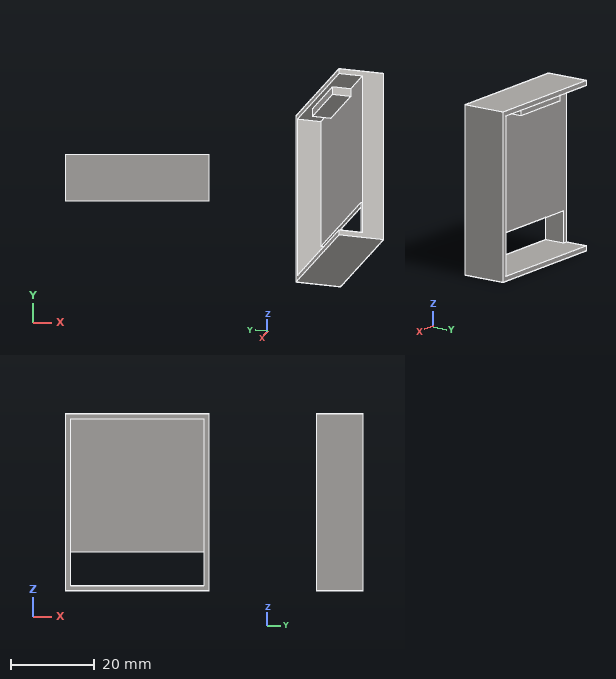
import cadquery as cq

width = 34.4
depth = 11.2
height = 42.4
wall = 1.27
clear_width = width - 2 * wall
clear_height = height - 2 * wall

short_wall_depth = 5.35

panel_front = 4.32
panel_height = clear_width

tab_width = clear_width / 2
tab_height = 1.95
tab_depth = depth - wall - short_wall_depth


def block(size_x, size_y, size_z, start_x, start_y, start_z):
    """Box placed by its lowest corner."""
    box = cq.Workplane("XY").box(size_x, size_y, size_z, centered=False)
    return box.translate((start_x, start_y, start_z))


def make_frame():
    outer = block(width, depth, height, 0, 0, 0)
    opening = block(clear_width, depth, clear_height, wall, 0, wall)
    side_cut = block(wall, depth - short_wall_depth, clear_height, 0, short_wall_depth, wall)
    return outer.cut(opening).cut(side_cut)


def make_panel():
    thickness = short_wall_depth - panel_front
    bottom = height - wall - panel_height
    return block(clear_width, thickness, panel_height, wall, panel_front, bottom)


def make_tab():
    start_x = (width - tab_width) / 2
    bottom = height - wall - tab_height
    return block(tab_width, tab_depth, tab_height, start_x, short_wall_depth, bottom)


part = make_frame().union(make_panel()).union(make_tab())
result = part.translate((-width / 2, -depth / 2, -height / 2))